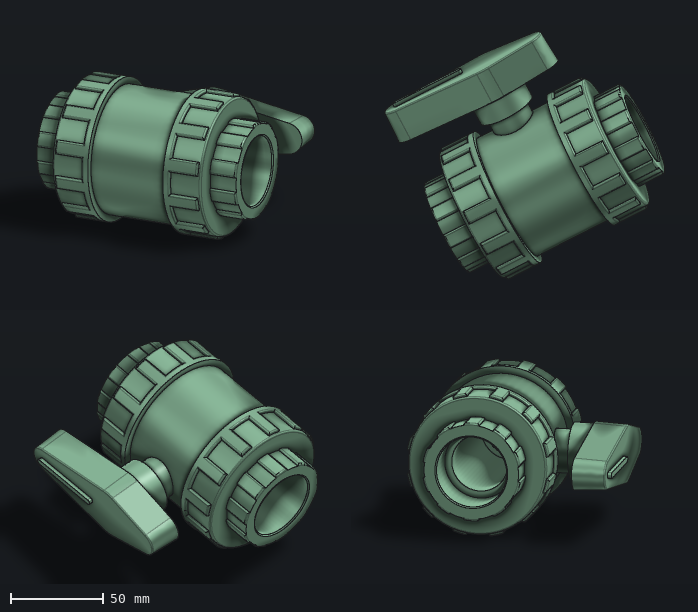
import cadquery as cq
import math


overall_length = 120.1
body_diameter = 72.0
body_half_length = 22.6
bore_diameter = 31.1
socket_diameter = 38.9
socket_depth = 22.0
socket_chamfer = 0.7

nut_diameter = 80.0
nut_root_diameter = 76.8
nut_outer_end = 44.6
nut_edge_fillet = 1.0
nut_flange_width = 4.0
nut_rib_end_gap = 1.8
nut_rib_count = 12
nut_rib_width = 7.7
nut_rib_fillet = 1.0

collar_diameter = 52.4
collar_rib_diameter = 54.5
collar_rib_count = 10
collar_first_rib_angle = 90
collar_rib_width = 8.4
collar_rib_fillet = 1.0

stem_diameter = 24.0
boss_diameter = 32.0
boss_start = 43.9

handle_base = 55.5
handle_height = 18.4
handle_draft = 2.8
handle_left_reach = 38.0
handle_right_reach = 60.1
handle_hub_radius = 17.0
handle_tip_radius = 9.0
handle_edge_fillet = 0.7
handle_top = handle_base + handle_height

pad_start = 11.0
pad_length = 41.9
pad_width = 3.2
pad_height = 2.3

half_length = overall_length / 2
nut_flange_end = body_half_length + nut_flange_width
position_tolerance = 0.01


def x_cylinder(diameter, start, end):
    """Solid cylinder along the pipe axis."""
    return cq.Workplane("YZ", origin=(start, 0, 0)).circle(diameter / 2).extrude(end - start)


def y_cylinder(diameter, start, end):
    """Solid cylinder along the stem axis."""
    return cq.Workplane("XZ", origin=(0, start, 0)).circle(diameter / 2).extrude(start - end)


def rib_ring(count, width, outer_diameter, start, end, first_angle):
    """Axial ribs around the pipe axis, trimmed to the outer diameter."""
    radius = outer_diameter / 2
    bars = (
        cq.Workplane("YZ", origin=(start, 0, 0))
        .polarArray(radius, first_angle, 360, count)
        .rect(radius, width)
        .extrude(end - start)
    )
    return bars.intersect(x_cylinder(outer_diameter, start, end))


def crest_edges(solid, diameter, beyond):
    """Edges lying on the given diameter whose middle is past an X position."""
    def is_on_crest(edge):
        ends = [edge.startPoint(), edge.endPoint()]
        on_crest = all(abs(math.hypot(p.y, p.z) - diameter / 2) < position_tolerance for p in ends)
        return on_crest and edge.Center().x > beyond - position_tolerance

    return solid.edges().filter(is_on_crest)


def make_nut():
    """Union nut on the +X side: grip ribs run out from a flange at its inner edge."""
    nut = x_cylinder(nut_root_diameter, body_half_length, nut_outer_end)
    nut = nut.faces(">X").edges().fillet(nut_edge_fillet)
    nut = nut.union(x_cylinder(nut_diameter, body_half_length, nut_flange_end))
    half_pitch = 180 / nut_rib_count
    rib_end = nut_outer_end - nut_rib_end_gap
    nut = nut.union(rib_ring(nut_rib_count, nut_rib_width, nut_diameter,
                             body_half_length, rib_end, half_pitch))
    return crest_edges(nut, nut_diameter, nut_flange_end).fillet(nut_rib_fillet)


def make_collar():
    """Pipe collar on the +X side, ribbed up to its open end."""
    collar = x_cylinder(collar_diameter, 0, half_length)
    collar = collar.union(rib_ring(collar_rib_count, collar_rib_width, collar_rib_diameter,
                                   body_half_length, half_length, collar_first_rib_angle))
    return crest_edges(collar, collar_rib_diameter, nut_flange_end).fillet(collar_rib_fillet)


def make_half_valve():
    """Nut, collar and half of the body on the +X side."""
    body = x_cylinder(body_diameter, 0, body_half_length)
    return body.union(make_nut()).union(make_collar())


def make_handle_outline(workplane):
    """Outline of the handle: tip arcs and hub arcs joined by common tangents."""
    left_tip = handle_tip_radius - handle_left_reach
    right_tip = handle_right_reach - handle_tip_radius
    radius_drop = handle_hub_radius - handle_tip_radius
    left_lean = math.asin(radius_drop / -left_tip)
    right_lean = math.asin(radius_drop / right_tip)

    def tangent_points(center, radius, lean):
        along = center + radius * math.sin(lean)
        across = radius * math.cos(lean)
        return (along, across), (along, -across)

    left_lower, left_upper = tangent_points(left_tip, handle_tip_radius, -left_lean)
    hub_left_lower, hub_left_upper = tangent_points(0, handle_hub_radius, -left_lean)
    hub_right_lower, hub_right_upper = tangent_points(0, handle_hub_radius, right_lean)
    right_lower, right_upper = tangent_points(right_tip, handle_tip_radius, right_lean)

    return (
        workplane.moveTo(*left_lower)
        .lineTo(*hub_left_lower)
        .threePointArc((0, handle_hub_radius), hub_right_lower)
        .lineTo(*right_lower)
        .threePointArc((handle_right_reach, 0), right_upper)
        .lineTo(*hub_right_upper)
        .threePointArc((0, -handle_hub_radius), hub_left_upper)
        .lineTo(*left_upper)
        .threePointArc((-handle_left_reach, 0), left_lower)
        .close()
    )


def make_handle():
    """Drafted handle with a rounded top edge and a raised pad."""
    base_plane = cq.Plane(origin=(0, handle_base, 0), xDir=(1, 0, 0), normal=(0, 1, 0))
    outline = make_handle_outline(cq.Workplane(base_plane))
    handle = outline.extrude(handle_height, taper=handle_draft)
    handle = handle.faces(">Y").edges().fillet(handle_edge_fillet)
    pad = (
        cq.Workplane("XZ", origin=(pad_start + pad_length / 2, handle_top, 0))
        .slot2D(pad_length, pad_width)
        .extrude(-pad_height)
    )
    return handle.union(pad)


def make_socket():
    """Pipe socket on the +X side, with a chamfered mouth."""
    radius = socket_diameter / 2
    return (
        cq.Workplane("XY")
        .moveTo(half_length - socket_depth, 0)
        .lineTo(half_length - socket_depth, radius)
        .lineTo(half_length - socket_chamfer, radius)
        .lineTo(half_length, radius + socket_chamfer)
        .lineTo(half_length, 0)
        .close()
        .revolve(360, (0, 0, 0), (1, 0, 0))
    )


half_valve = make_half_valve()
valve = half_valve.union(half_valve.mirror("YZ"))
valve = valve.union(y_cylinder(stem_diameter, 0, boss_start))
valve = valve.union(y_cylinder(boss_diameter, boss_start, handle_base))
valve = valve.union(make_handle())

socket = make_socket()
valve = valve.cut(x_cylinder(bore_diameter, -half_length, half_length))
result = valve.cut(socket).cut(socket.mirror("YZ"))